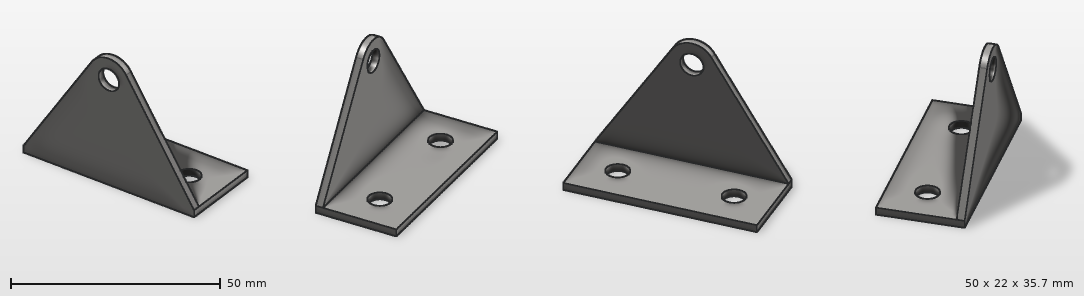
import cadquery as cq
import math

width = 50.0
depth = 22.0
height = 35.65
thickness = 2.0

lug_radius = 6.0
lug_hole_diameter = 6.0
lug_center_z = height - lug_radius

mount_hole_diameter = 6.0
mount_hole_spacing = 30.0
mount_hole_y = (thickness + depth) / 2


def make_base():
    """Flat base plate with two mounting holes."""
    plate = cq.Workplane("XY").box(width, depth, thickness, centered=(True, False, False))
    holes = (
        cq.Workplane("XY")
        .pushPoints([(side * mount_hole_spacing / 2, mount_hole_y) for side in (-1, 1)])
        .circle(mount_hole_diameter / 2)
        .extrude(thickness)
    )
    return plate.cut(holes)


def make_upright():
    """Triangular plate whose sloping sides run tangent to the rounded lug."""
    half_width = width / 2
    drop = lug_center_z - thickness
    corner_distance = math.hypot(half_width, drop)
    tangent_angle = math.acos(lug_radius / corner_distance) - math.atan2(drop, half_width)
    tangent_x = lug_radius * math.cos(tangent_angle)
    tangent_z = lug_center_z + lug_radius * math.sin(tangent_angle)

    plate = (
        cq.Workplane("XZ")
        .moveTo(-half_width, 0)
        .lineTo(half_width, 0)
        .lineTo(half_width, thickness)
        .lineTo(tangent_x, tangent_z)
        .threePointArc((0, height), (-tangent_x, tangent_z))
        .lineTo(-half_width, thickness)
        .close()
        .extrude(-thickness)
    )
    hole = (
        cq.Workplane("XZ")
        .center(0, lug_center_z)
        .circle(lug_hole_diameter / 2)
        .extrude(-thickness)
    )
    return plate.cut(hole)


result = make_base().union(make_upright())